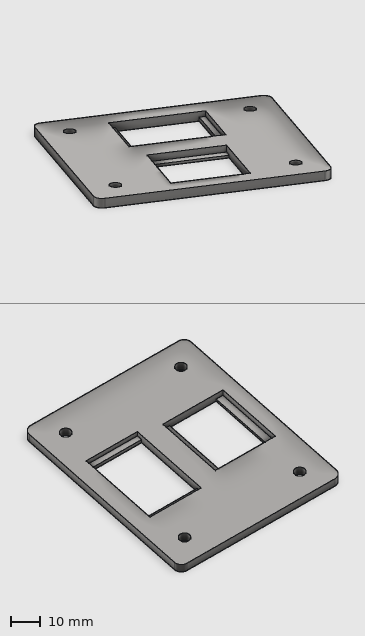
import cadquery as cq

plate_width = 70.0
plate_length = 84.0
plate_thickness = 3.5
corner_radius = 3.0

hole_diameter = 4.2
hole_spacing_x = 49.8
hole_spacing_y = 63.8

left_center = (-16.9, 0.0)
left_width = 22.1
left_length = 34.3
left_ledge_width = 2.3
left_ledge_thickness = 1.5

right_center = (16.05, 0.4)
right_width = 25.95
right_length = 28.1
right_ledge_width = 2.9
right_ledge_thickness = 1.0


def rectangular_cutter(center, width, length, floor_height):
    """Box that cuts from floor_height up to the top of the plate."""
    return (
        cq.Workplane("XY", origin=(center[0], center[1], floor_height))
        .rect(width, length)
        .extrude(plate_thickness - floor_height)
    )


def stepped_window(center, width, length, through_width, through_length, ledge_thickness):
    """Pocket down to the ledges, joined to a smaller opening through the plate."""
    pocket = rectangular_cutter(center, width, length, ledge_thickness)
    opening = rectangular_cutter(center, through_width, through_length, 0)
    return pocket.union(opening)


plate = (
    cq.Workplane("XY")
    .rect(plate_width, plate_length)
    .extrude(plate_thickness)
    .edges("|Z")
    .fillet(corner_radius)
)

mounting_holes = (
    cq.Workplane("XY")
    .rect(hole_spacing_x, hole_spacing_y, forConstruction=True)
    .vertices()
    .circle(hole_diameter / 2)
    .extrude(plate_thickness)
)

left_window = stepped_window(
    left_center,
    left_width,
    left_length,
    left_width,
    left_length - 2 * left_ledge_width,
    left_ledge_thickness,
)

right_window = stepped_window(
    right_center,
    right_width,
    right_length,
    right_width - 2 * right_ledge_width,
    right_length,
    right_ledge_thickness,
)

result = plate.cut(mounting_holes).cut(left_window).cut(right_window)